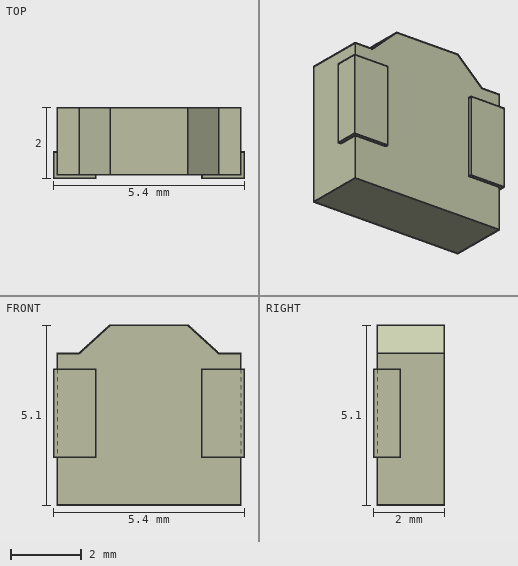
import cadquery as cq

body_width = 5.2
body_depth = 1.9
shoulder_height = 4.3
hump_height = 0.8
hump_base_width = 3.95
hump_top_width = 2.2

terminal_thickness = 0.1
terminal_front_length = 1.2
terminal_side_length = 0.75
terminal_height = 2.5
terminal_bottom = 1.35

body_half_width = body_width / 2
terminal_outer_x = body_half_width + terminal_thickness
terminal_inner_x = terminal_outer_x - terminal_front_length
terminal_front_y = -terminal_thickness
terminal_back_y = terminal_front_y + terminal_side_length


def make_body():
    top = shoulder_height + hump_height
    outline = [
        (-body_half_width, 0),
        (body_half_width, 0),
        (body_half_width, shoulder_height),
        (hump_base_width / 2, shoulder_height),
        (hump_top_width / 2, top),
        (-hump_top_width / 2, top),
        (-hump_base_width / 2, shoulder_height),
        (-body_half_width, shoulder_height),
    ]
    return cq.Workplane("XZ").polyline(outline).close().extrude(-body_depth)


def make_terminal(side):
    """L-shaped strap; side is -1 for the -X edge and +1 for the +X edge."""
    outline = [
        (side * terminal_inner_x, terminal_front_y),
        (side * terminal_outer_x, terminal_front_y),
        (side * terminal_outer_x, terminal_back_y),
        (side * body_half_width, terminal_back_y),
        (side * body_half_width, 0),
        (side * terminal_inner_x, 0),
    ]
    base = cq.Workplane("XY").workplane(offset=terminal_bottom)
    return base.polyline(outline).close().extrude(terminal_height)


result = make_body()
for side in (-1, 1):
    result = result.union(make_terminal(side))